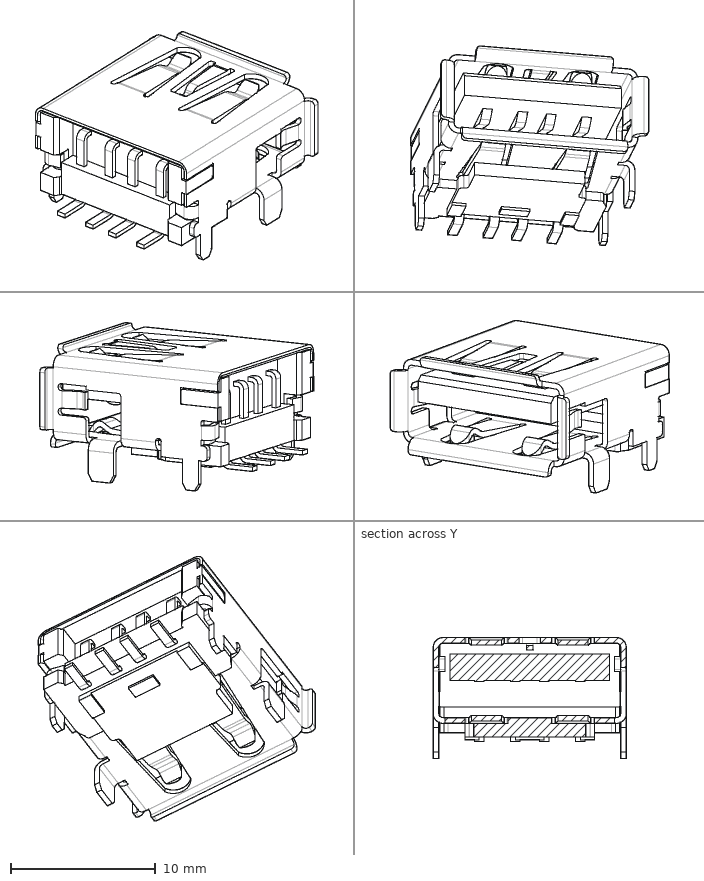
import cadquery as cq
import math


SHEET = 0.4
BEND_IN = 0.3
BEND_OUT = BEND_IN + SHEET

HALF_W = 6.68
TOP_Z = 8.38
FLOOR_Z = 2.44
SHELL_LEN = 13.1
INNER_HALF = HALF_W - SHEET
CEIL_Z = TOP_Z - SHEET
INNER_FLOOR_Z = FLOOR_Z + SHEET
MID_Z = (TOP_Z + FLOOR_Z) / 2
REAR_BEVEL = 0.21

FLOOR_REAR_Y = 4.95
SKIRT_FRONT_Y = 4.51
SKIRT_REAR_Y = 0.84
SKIRT_Z = 2.15
RELIEF_ROUND = 0.21
RELIEF_TOP_Z = 3.4
SKIRT_ROUND = 0.28

NOTCH_Y = 1.31
NOTCH_Z = (3.23, 5.0)
CLIP_Z = (3.62, 4.63)
CLIP_REAR_Y = 0.6
CLIP_TIP_X = 5.08
CLIP_SLANT = 0.2

LATCH_LEN = 2.96
LATCH_Z = (6.0, 7.17)
LATCH_GAP = 0.12
LATCH_ROUND = 0.15
LATCH_INSET = 0.05

WINDOW_Y = (7.71, 10.49)
WINDOW_TOP_Z = 6.29
WINDOW_ROUND = 0.22
SLOT_FRONT_Y = 12.7
UPPER_SLOT_Z = (6.05, 6.55)
LOWER_SLOT_Z = (4.33, 4.81)
SLOT_END_ROUND = 0.22
TAB_ROOT_Y = 12.4
TAB_TIP_Y = 10.67
TAB_HEEL_Y = (11.38, 11.13, 10.9)
TAB_HEEL_DEPTH = 0.05
TAB_FLARE = 0.1
TAB_OFFSET = 0.3

FRONT_FOOT_Y = (8.07, 10.07)
FRONT_FOOT_OUTER_X = 7.1
FRONT_FOOT_CHAMFER = (0.3, 0.52)
REAR_FOOT_Y = (1.54, 2.81)
REAR_FOOT_CHAMFER = (0.3, 0.48)

TOP_FLANGE_HALF = 4.83
TOP_FLANGE_REACH = 0.48
BOTTOM_FLANGE_HALF = 5.83
BOTTOM_FLANGE_REACH = 0.65
OVERALL_W = 14.63
SIDE_FLANGE_REACH = OVERALL_W / 2 - HALF_W
SIDE_FLANGE_Z = (3.24, 7.59)
FLANGE_ROUND = 0.27

SPRING_X = 2.99
SPRING_HALF = 1.24
SPRING_SLOT_HALF = 1.66
SPRING_SHOULDER_HALF = 1.05
SPRING_TIP_HALF = 0.76
SPRING_TIP_ROUND_Y = 11.58
SPRING_SLOT_ROUND = 0.18
SPRING_ROOT_Y = 6.02
SPRING_SLOT_Y = 5.7
SPRING_SLOT_TOP_Y = 13.0
SPRING_SLOT_SHOULDER_Y = 12.4
SPRING_TIP_Y = 12.19
SPRING_RAMP_TOP = (6.15, 8.35)
SPRING_RAMP_BEND = (10.02, 8.1)
SPRING_DIP_START = (10.31, 8.01)
SPRING_VALLEY_UPPER = ((10.86, 7.71), (11.07, 7.66), (11.23, 7.75))
SPRING_CREST = (11.88, 8.37)
SPRING_TIP_Z = 8.19
SPRING_VALLEY_LOWER = ((11.5, 7.47), (11.13, 7.26), (10.65, 7.37))
SPRING_RAMP_BELOW = (10.1, 7.66)

LATCH_SPRING_ROOT_Y = 12.18
LATCH_SPRING_SLOT_Y = (7.41, 12.45)
LATCH_SPRING_SLOT_HALF = (0.69, 1.12)
LATCH_SPRING_SLOT_ROUND = 0.2
LATCH_SPRING_HALF = (0.28, 0.65)
LATCH_SPRING_TIP_Y = 7.81
LATCH_SPRING_DROP = 0.06
LATCH_SPRING_BEND_Y = 9.23
LATCH_SPRING_SHOULDER = ((8.95, 8.23), (8.7, 8.01))
LATCH_SPRING_VALLEY = ((8.6, 7.89), (8.34, 7.75), (8.04, 7.98))
LATCH_SPRING_TIP_Z = 7.65
LATCH_SPRING_BELLY = ((8.37, 7.35), (8.93, 7.62))

HOUSING_HALF = 6.23
HOUSING_Z = 1.8
REAR_WALL_HALF = 4.78
REAR_WALL_Y = (1.8, 2.84)
PILLAR_BEVEL = 0.3
LEDGE_Y = 0.5
LEDGE_TOP_Z = 4.3
BASE_FRONT_Y = 5.25
BASE_FRONT_HALF = 5.93
BASE_ROUND = 0.27
BASE_TAPER_Y = 4.39
BASE_TOP_Z = 3.59
RECESS_STEP_X = 5.69
RECESS_Y = 1.08
TONGUE_HALF = 5.53
TONGUE_Z = (5.4, 7.25)
TONGUE_FRONT_Y = 13.0
TONGUE_CHAMFER = 0.37
PLATE_Z = 1.5
PLATE_REAR_Y = 1.8
PLATE_HALF = 4.48
PLATE_FRONT_HALF = 3.88
PLATE_STEP_Y = 6.15
PLATE_ROUND = 0.28
PAD_Z = 1.3
PAD_FRONT_Y = 3.6
CENTER_PAD_REAR_Y = 2.69

CONTACT_X = (-3.5, -1.0, 1.0, 3.5)
CONTACT_W = 0.67
CONTACT_T = 0.31
CONTACT_REAR_Y = 1.0
CONTACT_TOP_Z = 6.81
CONTACT_BEND = 0.5
TAIL_Z = 1.18
TAIL_BEND = 0.27
TAIL_END_Y = -1.14
BUMP_Y = (7.71, 9.86, 11.05)
BUMP_Z = 4.83
BUMP_CROWN_HALF = 0.45
BUMP_CROWN_RISE = 0.09


def block(x, y, z):
    """Box spanning the given (low, high) pairs."""
    size = (x[1] - x[0], y[1] - y[0], z[1] - z[0])
    return cq.Workplane("XY").box(*size, centered=False).translate((x[0], y[0], z[0]))


def side_prism(sketch, x):
    """Extrude a closed (y, z) outline across the (low, high) x range."""
    return sketch.extrude(x[1] - x[0]).translate((x[0], 0, 0))


def plan_prism(sketch, z):
    """Extrude a closed (x, y) outline across the (low, high) z range."""
    return sketch.extrude(z[1] - z[0]).translate((0, 0, z[0]))


def both_sides(solid):
    """Solid joined with its mirror image across x = 0."""
    return solid.union(solid.mirror("YZ"))


def arc_point(center, radius, degrees):
    angle = math.radians(degrees)
    return (center[0] + radius * math.cos(angle), center[1] + radius * math.sin(angle))


def shell_tube():
    height = TOP_Z - FLOOR_Z
    outer = cq.Workplane("XY").box(2 * HALF_W, SHELL_LEN, height).edges("|Y").fillet(BEND_OUT)
    bore = cq.Workplane("XY").box(2 * INNER_HALF, SHELL_LEN, height - 2 * SHEET).edges("|Y").fillet(BEND_IN)
    tube = outer.cut(bore).translate((0, SHELL_LEN / 2, MID_Z))
    rear_rim = tube.faces("<Y").val().innerWires()[0]
    tube = tube.newObject(rear_rim.Edges()).chamfer(REAR_BEVEL)
    open_floor = block((-HALF_W, HALF_W), (0, FLOOR_REAR_Y), (FLOOR_Z, RELIEF_TOP_Z))
    return tube.cut(open_floor)


def side_wall_skirts():
    """Straight wall below the tube at the rear, its lower rear corner standing out under the notch."""
    wall_x = (INNER_HALF, HALF_W)
    foot = block(wall_x, (SKIRT_REAR_Y, SKIRT_FRONT_Y), (SKIRT_Z, NOTCH_Z[0]))
    foot = foot.edges("|X and <Y").fillet(SKIRT_ROUND)
    wall = block(wall_x, (NOTCH_Y, FLOOR_REAR_Y), (NOTCH_Z[0], RELIEF_TOP_Z))
    slot = block(wall_x, (SKIRT_FRONT_Y, FLOOR_REAR_Y), (SKIRT_Z, RELIEF_TOP_Z))
    slot = slot.edges("|X and >Z").fillet(RELIEF_ROUND)
    return both_sides(foot.union(wall).cut(slot))


def rear_notches():
    notch = block((INNER_HALF - SHEET, HALF_W), (-NOTCH_Y, NOTCH_Y), NOTCH_Z)
    return both_sides(notch.edges("|X").fillet(SKIRT_ROUND / 2))


def rear_clips():
    """Tabs folded inward behind the side walls, gripping the housing."""
    bend = (HALF_W - BEND_OUT, CLIP_REAR_Y + BEND_OUT)
    tip_rear_y = CLIP_REAR_Y + CLIP_SLANT
    outline = (
        cq.Workplane("XY")
        .moveTo(HALF_W, NOTCH_Y)
        .lineTo(HALF_W, bend[1])
        .threePointArc(arc_point(bend, BEND_OUT, -45), (bend[0], CLIP_REAR_Y))
        .lineTo(CLIP_TIP_X, tip_rear_y)
        .lineTo(CLIP_TIP_X, tip_rear_y + SHEET)
        .lineTo(bend[0], CLIP_REAR_Y + SHEET)
        .threePointArc(arc_point(bend, BEND_IN, -45), (INNER_HALF, bend[1]))
        .lineTo(INNER_HALF, NOTCH_Y)
        .close()
    )
    return both_sides(plan_prism(outline, CLIP_Z))


def latch_windows():
    return both_sides(block((INNER_HALF, HALF_W), (0, LATCH_LEN), LATCH_Z))


def side_windows():
    """Opening down to the floor with two slots running toward the mouth, one on each side of a tab."""
    cut_x = (INNER_HALF - SHEET, HALF_W)
    slot_y = (WINDOW_Y[1], SLOT_FRONT_Y)
    main = block(cut_x, WINDOW_Y, (FLOOR_Z, WINDOW_TOP_Z)).edges("|X and >Z and <Y").fillet(WINDOW_ROUND)
    tab_gap = block(cut_x, (WINDOW_Y[1], TAB_ROOT_Y), (LOWER_SLOT_Z[1], UPPER_SLOT_Z[0]))
    lower_round = block(
        cut_x,
        (WINDOW_Y[1], WINDOW_Y[1] + WINDOW_ROUND),
        (LOWER_SLOT_Z[0] - WINDOW_ROUND, LOWER_SLOT_Z[0]),
    )
    lower_round = lower_round.cut(
        cq.Workplane("YZ")
        .center(WINDOW_Y[1] + WINDOW_ROUND, LOWER_SLOT_Z[0] - WINDOW_ROUND)
        .circle(WINDOW_ROUND)
        .extrude(HALF_W)
    )
    opening = main.union(tab_gap).union(lower_round)
    for slot_z in (UPPER_SLOT_Z, LOWER_SLOT_Z):
        slot = block(cut_x, slot_y, slot_z).edges("|X and >Y").fillet(SLOT_END_ROUND)
        opening = opening.union(slot)
    return both_sides(opening)


def side_tabs():
    """Spring tabs that step inward from the mouth side and flare out at the free tip."""
    offset_x = HALF_W - TAB_OFFSET
    tip_x = offset_x + TAB_FLARE
    heel_start_y, heel_y, heel_end_y = TAB_HEEL_Y
    outline = (
        cq.Workplane("XY")
        .moveTo(HALF_W, TAB_ROOT_Y)
        .lineTo(offset_x, heel_start_y)
        .threePointArc((offset_x - TAB_HEEL_DEPTH, heel_y), (offset_x, heel_end_y))
        .lineTo(tip_x, TAB_TIP_Y)
        .lineTo(tip_x - SHEET, TAB_TIP_Y)
        .lineTo(offset_x - SHEET, heel_start_y)
        .lineTo(INNER_HALF, TAB_ROOT_Y)
        .close()
    )
    return both_sides(plan_prism(outline, (LOWER_SLOT_Z[1], UPPER_SLOT_Z[0])))


def foot_outline(y, top_z, chamfer):
    run, rise = chamfer
    return cq.Workplane("YZ").polyline([
        (y[0], top_z), (y[0], rise), (y[0] + run, 0),
        (y[1] - run, 0), (y[1], rise), (y[1], top_z),
    ]).close()


def rear_feet():
    outline = foot_outline(REAR_FOOT_Y, SKIRT_Z + SHEET, REAR_FOOT_CHAMFER)
    return both_sides(side_prism(outline, (INNER_HALF, HALF_W)))


def front_feet():
    bend = (FRONT_FOOT_OUTER_X - BEND_OUT, INNER_FLOOR_Z - BEND_OUT)
    root_x = INNER_HALF - 2 * SHEET
    strip = (
        cq.Workplane("XZ")
        .moveTo(root_x, INNER_FLOOR_Z)
        .lineTo(bend[0], INNER_FLOOR_Z)
        .threePointArc(arc_point(bend, BEND_OUT, 45), (FRONT_FOOT_OUTER_X, bend[1]))
        .lineTo(FRONT_FOOT_OUTER_X, 0)
        .lineTo(FRONT_FOOT_OUTER_X - SHEET, 0)
        .lineTo(FRONT_FOOT_OUTER_X - SHEET, bend[1])
        .threePointArc(arc_point(bend, BEND_IN, 45), (bend[0], FLOOR_Z))
        .lineTo(root_x, FLOOR_Z)
        .close()
        .extrude(-SHELL_LEN)
    )
    outline = foot_outline(FRONT_FOOT_Y, INNER_FLOOR_Z, FRONT_FOOT_CHAMFER)
    return both_sides(strip.intersect(side_prism(outline, (root_x, FRONT_FOOT_OUTER_X))))


def flange(outward, face_center, reach, half_width):
    """Lip curling outward from a wall's mouth edge; face_center lies on the wall's outer face."""
    normal = cq.Vector(*outward).cross(cq.Vector(0, 1, 0))
    plane = cq.Plane(origin=face_center, xDir=outward, normal=normal.toTuple())
    bend = (BEND_IN, 0)
    return (
        cq.Workplane(plane)
        .moveTo(-SHEET, 0)
        .threePointArc(arc_point(bend, BEND_OUT, 135), (BEND_IN, BEND_OUT))
        .lineTo(reach, BEND_OUT)
        .lineTo(reach, BEND_IN)
        .lineTo(BEND_IN, BEND_IN)
        .threePointArc(arc_point(bend, BEND_IN, 135), (0, 0))
        .close()
        .extrude(half_width, both=True)
        .edges("|Y")
        .fillet(FLANGE_ROUND)
    )


def mouth_flanges():
    side_mid_z = sum(SIDE_FLANGE_Z) / 2
    side_half = (SIDE_FLANGE_Z[1] - SIDE_FLANGE_Z[0]) / 2
    top = flange((0, 0, 1), (0, SHELL_LEN, TOP_Z), TOP_FLANGE_REACH, TOP_FLANGE_HALF)
    bottom = flange((0, 0, -1), (0, SHELL_LEN, FLOOR_Z), BOTTOM_FLANGE_REACH, BOTTOM_FLANGE_HALF)
    side = flange((1, 0, 0), (HALF_W, SHELL_LEN, side_mid_z), SIDE_FLANGE_REACH, side_half)
    return top.union(bottom).union(both_sides(side))


ROOF_CUT_Z = (CEIL_Z - SHEET, TOP_Z)
SPRING_Z = (MID_Z, TOP_Z + SHEET)


def contact_spring_slot():
    """Tapered opening with an arched front end, centred on x = 0."""
    outline = (
        cq.Workplane("XY")
        .moveTo(-SPRING_SLOT_HALF, SPRING_SLOT_Y)
        .lineTo(-SPRING_SHOULDER_HALF, SPRING_SLOT_SHOULDER_Y)
        .threePointArc((0, SPRING_SLOT_TOP_Y), (SPRING_SHOULDER_HALF, SPRING_SLOT_SHOULDER_Y))
        .lineTo(SPRING_SLOT_HALF, SPRING_SLOT_Y)
        .close()
    )
    root = block((-SPRING_HALF, SPRING_HALF), (SPRING_SLOT_Y, SPRING_ROOT_Y), ROOF_CUT_Z)
    slot = plan_prism(outline, ROOF_CUT_Z).cut(root)
    return slot.edges("|Z and <Y").fillet(SPRING_SLOT_ROUND)


def contact_spring():
    """Tapered leaf that slopes down toward the mouth and curls up at its round tip."""
    leaf_plan = (
        cq.Workplane("XY")
        .moveTo(-SPRING_HALF, SPRING_SLOT_Y)
        .lineTo(SPRING_HALF, SPRING_SLOT_Y)
        .lineTo(SPRING_TIP_HALF, SPRING_TIP_ROUND_Y)
        .threePointArc((0, SPRING_TIP_Y), (-SPRING_TIP_HALF, SPRING_TIP_ROUND_Y))
        .close()
    )
    leaf_side = (
        cq.Workplane("YZ")
        .moveTo(SPRING_SLOT_Y, TOP_Z)
        .lineTo(SPRING_ROOT_Y, TOP_Z)
        .lineTo(*SPRING_RAMP_TOP)
        .lineTo(*SPRING_RAMP_BEND)
        .lineTo(*SPRING_DIP_START)
        .lineTo(*SPRING_VALLEY_UPPER[0])
        .threePointArc(*SPRING_VALLEY_UPPER[1:])
        .lineTo(*SPRING_CREST)
        .lineTo(SPRING_TIP_Y, SPRING_TIP_Z)
        .lineTo(*SPRING_VALLEY_LOWER[0])
        .threePointArc(*SPRING_VALLEY_LOWER[1:])
        .lineTo(*SPRING_RAMP_BELOW)
        .lineTo(SPRING_ROOT_Y, CEIL_Z)
        .lineTo(SPRING_SLOT_Y, CEIL_Z)
        .close()
    )
    return side_prism(leaf_side, (-SPRING_HALF, SPRING_HALF)).intersect(plan_prism(leaf_plan, SPRING_Z))


def latch_spring_slot():
    rear_half, front_half = LATCH_SPRING_SLOT_HALF
    outline = cq.Workplane("XY").polyline([
        (-front_half, LATCH_SPRING_SLOT_Y[1]), (front_half, LATCH_SPRING_SLOT_Y[1]),
        (rear_half, LATCH_SPRING_SLOT_Y[0]), (-rear_half, LATCH_SPRING_SLOT_Y[0]),
    ]).close()
    return plan_prism(outline, ROOF_CUT_Z).edges("|Z").fillet(LATCH_SPRING_SLOT_ROUND)


def latch_spring():
    """Tapered leaf rooted near the mouth, set slightly below the roof, with a dipped rear tip."""
    tip_half, root_half = LATCH_SPRING_HALF
    step_y = LATCH_SPRING_ROOT_Y - LATCH_SPRING_DROP
    latch_top_z = TOP_Z - LATCH_SPRING_DROP
    leaf_plan = (
        cq.Workplane("XY")
        .moveTo(-root_half, LATCH_SPRING_SLOT_Y[1])
        .lineTo(root_half, LATCH_SPRING_SLOT_Y[1])
        .lineTo(tip_half, LATCH_SPRING_TIP_Y + tip_half)
        .threePointArc((0, LATCH_SPRING_TIP_Y), (-tip_half, LATCH_SPRING_TIP_Y + tip_half))
        .close()
    )
    leaf_side = (
        cq.Workplane("YZ")
        .moveTo(LATCH_SPRING_SLOT_Y[1], TOP_Z)
        .lineTo(LATCH_SPRING_ROOT_Y, TOP_Z)
        .lineTo(step_y, latch_top_z)
        .lineTo(LATCH_SPRING_BEND_Y, latch_top_z)
        .threePointArc(*LATCH_SPRING_SHOULDER)
        .lineTo(*LATCH_SPRING_VALLEY[0])
        .threePointArc(*LATCH_SPRING_VALLEY[1:])
        .lineTo(LATCH_SPRING_TIP_Y, LATCH_SPRING_TIP_Z)
        .threePointArc(*LATCH_SPRING_BELLY)
        .lineTo(LATCH_SPRING_BEND_Y, latch_top_z - SHEET)
        .lineTo(step_y, latch_top_z - SHEET)
        .lineTo(LATCH_SPRING_SLOT_Y[1], CEIL_Z)
        .close()
    )
    return side_prism(leaf_side, (-root_half, root_half)).intersect(plan_prism(leaf_plan, SPRING_Z))


def mirror_to_floor(solid):
    return solid.mirror("XY", (0, 0, MID_Z))


def build_shell():
    shell = shell_tube().union(side_wall_skirts())
    shell = shell.cut(rear_notches()).cut(latch_windows()).cut(side_windows())
    shell = shell.cut(latch_spring_slot()).union(latch_spring())
    for x in (-SPRING_X, SPRING_X):
        slot = contact_spring_slot().translate((x, 0, 0))
        spring = contact_spring().translate((x, 0, 0))
        shell = shell.cut(slot).union(spring)
        shell = shell.cut(mirror_to_floor(slot)).union(mirror_to_floor(spring))
    for extra in (rear_clips(), side_tabs(), rear_feet(), front_feet(), mouth_flanges()):
        shell = shell.union(extra)
    return shell


def clip_recesses():
    """Gap in each pillar for a clip; its back wall is rounded like the clip's bend."""
    recess_bend = HOUSING_HALF - RECESS_STEP_X
    bend_center = (RECESS_STEP_X, RECESS_Y + recess_bend)
    outline = (
        cq.Workplane("XY")
        .moveTo(HOUSING_HALF, 0)
        .lineTo(HOUSING_HALF, RECESS_Y + recess_bend)
        .threePointArc(arc_point(bend_center, recess_bend, -45), (RECESS_STEP_X, RECESS_Y))
        .lineTo(REAR_WALL_HALF, RECESS_Y + CLIP_SLANT)
        .lineTo(REAR_WALL_HALF, 0)
        .close()
    )
    return both_sides(plan_prism(outline, NOTCH_Z))


def housing_body():
    """Rear wall with a pillar at each side, the stepped ledge and the low base."""
    pillar = cq.Workplane("XY").polyline([
        (HOUSING_HALF, 0), (REAR_WALL_HALF + PILLAR_BEVEL, 0), (REAR_WALL_HALF, PILLAR_BEVEL),
        (REAR_WALL_HALF, REAR_WALL_Y[0]), (0, REAR_WALL_Y[0]),
        (0, REAR_WALL_Y[1]), (HOUSING_HALF, REAR_WALL_Y[1]),
    ]).close()
    body = both_sides(plan_prism(pillar, (HOUSING_Z, CEIL_Z))).cut(clip_recesses())
    ledge = block((-REAR_WALL_HALF, REAR_WALL_HALF), (LEDGE_Y, REAR_WALL_Y[1]), (HOUSING_Z, LEDGE_TOP_Z))
    half_base = cq.Workplane("XY").polyline([
        (0, REAR_WALL_Y[1]), (HOUSING_HALF, REAR_WALL_Y[1]), (HOUSING_HALF, BASE_TAPER_Y),
        (BASE_FRONT_HALF, FLOOR_REAR_Y), (BASE_FRONT_HALF, BASE_FRONT_Y), (0, BASE_FRONT_Y),
    ]).close()
    base = both_sides(plan_prism(half_base, (HOUSING_Z, BASE_TOP_Z)))
    above_floor = block((-HALF_W, HALF_W), (FLOOR_REAR_Y, BASE_FRONT_Y), (FLOOR_Z, BASE_TOP_Z))
    base = base.cut(above_floor).edges("|Z and >Y").fillet(BASE_ROUND)
    return body.union(ledge).union(base)


def latch_bosses():
    boss_x = (INNER_HALF - SHEET, HALF_W - LATCH_INSET)
    boss_z = (LATCH_Z[0], LATCH_Z[1] - LATCH_GAP)
    boss = block(boss_x, (0, LATCH_LEN), boss_z).edges("|X and >Y").fillet(LATCH_ROUND)
    return both_sides(boss)


def tongue():
    body = block((-TONGUE_HALF, TONGUE_HALF), (REAR_WALL_Y[0], TONGUE_FRONT_Y), TONGUE_Z)
    return body.edges(">Y and >Z").chamfer(TONGUE_CHAMFER)


def bottom_plate():
    """Plate under the shell floor, with raised pads near its rear."""
    front_y = FRONT_FOOT_Y[0] + SHEET
    half_plate = cq.Workplane("XY").polyline([
        (0, PLATE_REAR_Y), (PLATE_HALF, PLATE_REAR_Y), (PLATE_HALF, PLATE_STEP_Y),
        (PLATE_FRONT_HALF, PLATE_STEP_Y), (PLATE_FRONT_HALF, front_y), (0, front_y),
    ]).close()
    step_edges = cq.selectors.BoxSelector(
        (PLATE_FRONT_HALF - 0.15, PLATE_STEP_Y - 0.15, 0), (PLATE_HALF + 0.15, PLATE_STEP_Y + 0.15, TOP_Z)
    )
    plate = plan_prism(half_plate, (PLATE_Z, FLOOR_Z)).edges("|Z").edges(step_edges).fillet(PLATE_ROUND)
    plate = both_sides(plate)
    outer_pad = block((CONTACT_X[3], PLATE_HALF), (PLATE_REAR_Y, PAD_FRONT_Y), (PAD_Z, PLATE_Z))
    center_pad = block((CONTACT_X[1], CONTACT_X[2]), (CENTER_PAD_REAR_Y, PAD_FRONT_Y), (PAD_Z, PLATE_Z))
    return plate.union(both_sides(outer_pad)).union(center_pad)


def build_housing():
    return housing_body().union(latch_bosses()).union(tongue()).union(bottom_plate())


def contact():
    """Tail, riser through the ledge and bent top, plus the bump under the tongue."""
    front_y = CONTACT_REAR_Y + CONTACT_T
    strip_x = (-CONTACT_W / 2, CONTACT_W / 2)
    inner_bend = CONTACT_BEND - CONTACT_T
    tail_bend = (CONTACT_REAR_Y - TAIL_BEND, TAIL_Z + CONTACT_T + TAIL_BEND)
    top_bend = (CONTACT_REAR_Y + CONTACT_BEND, CONTACT_TOP_Z - CONTACT_BEND)
    riser = (
        cq.Workplane("YZ")
        .moveTo(TAIL_END_Y, TAIL_Z)
        .lineTo(tail_bend[0], TAIL_Z)
        .threePointArc(arc_point(tail_bend, CONTACT_T + TAIL_BEND, -45), (front_y, tail_bend[1]))
        .lineTo(front_y, top_bend[1])
        .threePointArc(arc_point(top_bend, inner_bend, 135), (top_bend[0], CONTACT_TOP_Z - CONTACT_T))
        .lineTo(REAR_WALL_Y[1], CONTACT_TOP_Z - CONTACT_T)
        .lineTo(REAR_WALL_Y[1], CONTACT_TOP_Z)
        .lineTo(top_bend[0], CONTACT_TOP_Z)
        .threePointArc(arc_point(top_bend, CONTACT_BEND, 135), (CONTACT_REAR_Y, top_bend[1]))
        .lineTo(CONTACT_REAR_Y, tail_bend[1])
        .threePointArc(arc_point(tail_bend, TAIL_BEND, -45), (tail_bend[0], TAIL_Z + CONTACT_T))
        .lineTo(TAIL_END_Y, TAIL_Z + CONTACT_T)
        .close()
    )
    bump = (
        cq.Workplane("YZ")
        .moveTo(BUMP_Y[0], TONGUE_Z[0])
        .lineTo(BUMP_Y[1] - BUMP_CROWN_HALF, BUMP_Z + BUMP_CROWN_RISE)
        .threePointArc((BUMP_Y[1], BUMP_Z), (BUMP_Y[1] + BUMP_CROWN_HALF, BUMP_Z + BUMP_CROWN_RISE))
        .lineTo(BUMP_Y[2], TONGUE_Z[0])
        .close()
    )
    return side_prism(riser, strip_x).union(side_prism(bump, strip_x))


result = build_shell().union(build_housing())
for contact_x in CONTACT_X:
    result = result.union(contact().translate((contact_x, 0, 0)))